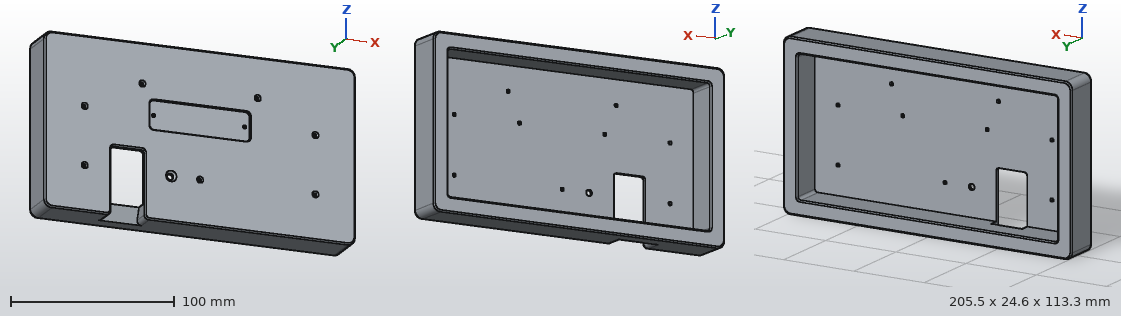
import cadquery as cq

LENGTH = 205.5
DEPTH = 24.58
HEIGHT = 113.25
BASE_Z = -HEIGHT / 2
CORNER_RADIUS = 5.0
EDGE_CHAMFER = 1.0

FRONT_WALL = 3.5
RIM_WALL = 10.2
CAVITY_RADIUS = 2.0

GRID = 38.1
LOWER_ROW_Z = -27.0
UPPER_ROW_Z = LOWER_ROW_Z + GRID
TOP_ROW_Z = UPPER_ROW_Z + GRID / 2
SCREW_HOLE_DIAMETER = 2.2
SCREW_SINK_DIAMETER = 4.2
SCREW_POINTS = [
    (-2 * GRID, LOWER_ROW_Z),
    (0, LOWER_ROW_Z),
    (2 * GRID, LOWER_ROW_Z),
    (-2 * GRID, UPPER_ROW_Z),
    (2 * GRID, UPPER_ROW_Z),
    (-GRID, TOP_ROW_Z),
    (GRID, TOP_ROW_Z),
]
LARGE_HOLE_DIAMETER = 4.0
LARGE_SINK_DIAMETER = 7.0
LARGE_POINT = (-GRID / 2, LOWER_ROW_Z)

RECESS_LENGTH = 67.4
RECESS_HEIGHT = 20.0
RECESS_RADIUS = 3.5
RECESS_DEPTH = 1.5
RECESS_CHAMFER = 0.5
BEVEL_ANGLE = 45
RECESS_HOLE_DIAMETER = 2.2
RECESS_HOLE_OFFSET = 30.1
RECESS_POINTS = [(side * RECESS_HOLE_OFFSET, UPPER_ROW_Z) for side in (-1, 1)]

NOTCH_CENTER_X = -47.55
NOTCH_WIDTH = 22.0
NOTCH_HEIGHT = 44.4
NOTCH_CORNER_RADIUS = 2.0
NOTCH_MOUTH_RADIUS = 3.0
NOTCH_DEPTH_AT_FLOOR = 9.4
NOTCH_DEPTH_AT_BASE = 13.4


def front_plane(depth=0.0):
    """Workplane parallel to the front face; a negative extrusion runs toward +Y."""
    return cq.Workplane("XZ", origin=(0, depth, 0))


def rounded_block(length, height, radius, start, end):
    """Block from Y = start to Y = end with rounded corners running along Y."""
    block = front_plane(start).rect(length, height).extrude(start - end)
    return block.edges("|Y").fillet(radius)


def make_shell():
    """Rounded box, hollowed from the back so a front wall and a thick rim remain."""
    outer = rounded_block(LENGTH, HEIGHT, CORNER_RADIUS, 0, DEPTH)
    cavity = rounded_block(
        LENGTH - 2 * RIM_WALL, HEIGHT - 2 * RIM_WALL, CAVITY_RADIUS, FRONT_WALL, DEPTH
    )
    return outer.cut(cavity)


def make_notch():
    """Slot through the front wall that runs into the lower rim and ends on a sloped face."""
    slot = (
        front_plane()
        .center(NOTCH_CENTER_X, BASE_Z + NOTCH_HEIGHT / 2)
        .rect(NOTCH_WIDTH, NOTCH_HEIGHT)
        .extrude(-FRONT_WALL)
        .edges("|Y and >Z")
        .fillet(NOTCH_CORNER_RADIUS)
    )
    rim_cut = (
        cq.Workplane("YZ", origin=(NOTCH_CENTER_X, 0, 0))
        .moveTo(0, BASE_Z)
        .lineTo(NOTCH_DEPTH_AT_BASE, BASE_Z)
        .lineTo(NOTCH_DEPTH_AT_FLOOR, BASE_Z + RIM_WALL)
        .lineTo(0, BASE_Z + RIM_WALL)
        .close()
        .extrude(NOTCH_WIDTH / 2, both=True)
    )
    return slot.union(rim_cut)


def make_recess():
    """Pocket whose mouth widens by a small bevel on the front face."""
    pocket = rounded_block(
        RECESS_LENGTH - 2 * RECESS_CHAMFER,
        RECESS_HEIGHT - 2 * RECESS_CHAMFER,
        RECESS_RADIUS - RECESS_CHAMFER,
        0,
        RECESS_DEPTH,
    )
    bevel = (
        front_plane()
        .placeSketch(
            cq.Sketch().rect(RECESS_LENGTH, RECESS_HEIGHT).vertices().fillet(RECESS_RADIUS)
        )
        .extrude(-RECESS_CHAMFER, taper=BEVEL_ANGLE)
    )
    return pocket.union(bevel).translate((0, 0, UPPER_ROW_Z))


def make_holes(points, diameter):
    return front_plane().pushPoints(points).circle(diameter / 2).extrude(-FRONT_WALL)


def make_countersinks(points, diameter, sink_diameter):
    """Through holes whose 45 degree mouths open on the front face."""
    sink_depth = (sink_diameter - diameter) / 2
    sinks = make_holes(points, diameter)
    for x, z in points:
        cone = cq.Solid.makeCone(
            sink_diameter / 2, diameter / 2, sink_depth, cq.Vector(x, 0, z), cq.Vector(0, 1, 0)
        )
        sinks = sinks.union(cq.Workplane(cone))
    return sinks


def round_notch_mouth(case):
    """Round the two lower corners where the notch leaves the bottom of the case."""
    reach = NOTCH_WIDTH / 2 + EDGE_CHAMFER
    mouth = cq.selectors.BoxSelector(
        (NOTCH_CENTER_X - reach, -EDGE_CHAMFER, BASE_Z - EDGE_CHAMFER),
        (NOTCH_CENTER_X + reach, NOTCH_DEPTH_AT_BASE, BASE_Z + EDGE_CHAMFER),
    )
    return case.edges("|Y").edges(mouth).fillet(NOTCH_MOUTH_RADIUS)


case = round_notch_mouth(make_shell().cut(make_notch()))
case = case.faces("<Y or >Y").edges().chamfer(EDGE_CHAMFER)
result = (
    case.cut(make_recess())
    .cut(make_holes(RECESS_POINTS, RECESS_HOLE_DIAMETER))
    .cut(make_countersinks(SCREW_POINTS, SCREW_HOLE_DIAMETER, SCREW_SINK_DIAMETER))
    .cut(make_countersinks([LARGE_POINT], LARGE_HOLE_DIAMETER, LARGE_SINK_DIAMETER))
)